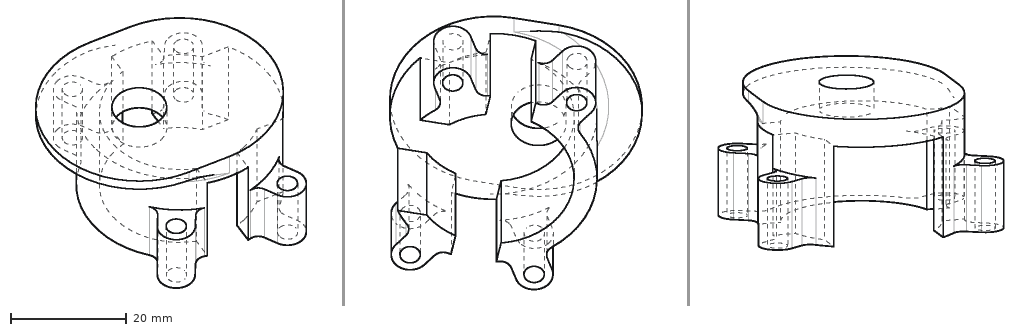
import cadquery as cq
import math

overall_width = 44.6
lid_width = 36.0
outer_radius = lid_width / 2
end_spacing = 8.0
total_height = 23.0
housing_lid_thickness = 5.0
overhang_thickness = 2.0
shaft_hole_diameter = 9.5

inner_radius = 14.0
side_slot_width = 8.05
rear_slot_width = 20.0
flare_radius = 2.0

lug_x = 19.0
lug_y = 10.97
lug_radius = overall_width / 2 - lug_x
lug_height = 12.0
lug_hole_diameter = 3.52
lug_fillet = 2.0

cavity_height = total_height - housing_lid_thickness
overhang_bottom = total_height - overhang_thickness


def make_lid_outline(bottom, top):
    """Solid with the stadium outline of the lid."""
    return (
        cq.Workplane("XY", origin=(0, end_spacing / 2, bottom))
        .slot2D(end_spacing + 2 * outer_radius, 2 * outer_radius, 90)
        .extrude(top - bottom)
    )


def make_flare():
    """Concave ring from the housing wall to the overhang, trimmed to the lid outline."""
    flare_bottom = overhang_bottom - flare_radius
    arc_offset = flare_radius * (1 - math.sqrt(0.5))
    ring = (
        cq.Workplane("XZ", origin=(0, end_spacing, 0))
        .moveTo(inner_radius, flare_bottom)
        .lineTo(outer_radius, flare_bottom)
        .threePointArc(
            (outer_radius + arc_offset, overhang_bottom - arc_offset),
            (outer_radius + flare_radius, overhang_bottom),
        )
        .lineTo(inner_radius, overhang_bottom)
        .close()
        .revolve(360, (0, 0, 0), (0, 1, 0))
    )
    return ring.intersect(make_lid_outline(flare_bottom, overhang_bottom))


def make_lug(angle):
    """Screw lug pointing away from the housing axis at the given angle, with filleted roots."""
    lug_distance = math.hypot(lug_x, lug_y)
    fillet_center_y = lug_radius + lug_fillet
    root_angle = math.asin(fillet_center_y / (outer_radius + lug_fillet))
    fillet_center_x = (outer_radius + lug_fillet) * math.cos(root_angle)
    root_x = outer_radius * math.cos(root_angle)
    root_y = outer_radius * math.sin(root_angle)
    mid_angle = (root_angle + math.pi / 2) / 2
    mid_x = fillet_center_x - lug_fillet * math.cos(mid_angle)
    mid_y = fillet_center_y - lug_fillet * math.sin(mid_angle)
    lug = (
        cq.Workplane("XY")
        .moveTo(root_x, -root_y)
        .threePointArc((mid_x, -mid_y), (fillet_center_x, -lug_radius))
        .lineTo(lug_distance, -lug_radius)
        .threePointArc((lug_distance + lug_radius, 0), (lug_distance, lug_radius))
        .lineTo(fillet_center_x, lug_radius)
        .threePointArc((mid_x, mid_y), (root_x, root_y))
        .close()
        .extrude(lug_height)
    )
    return lug.rotate((0, 0, 0), (0, 0, 1), angle).translate((0, end_spacing, 0))


housing = cq.Workplane("XY", origin=(0, end_spacing, 0))
result = housing.circle(outer_radius).extrude(total_height)
result = result.union(make_lid_outline(overhang_bottom, total_height))
result = result.union(make_flare())

lug_angle = math.degrees(math.atan2(lug_y, lug_x))
for angle in (lug_angle, 180 - lug_angle, 180 + lug_angle, -lug_angle):
    result = result.union(make_lug(angle))

result = result.cut(housing.circle(inner_radius).extrude(cavity_height))
side_slot = housing.rect(2 * outer_radius, side_slot_width).extrude(cavity_height)
rear_slot = (
    housing.rect(rear_slot_width, outer_radius, centered=(True, False)).extrude(cavity_height)
)
result = result.cut(side_slot).cut(rear_slot)

shaft_hole = cq.Workplane("XY").circle(shaft_hole_diameter / 2).extrude(total_height)
screw_holes = (
    housing.rect(2 * lug_x, 2 * lug_y, forConstruction=True)
    .vertices()
    .circle(lug_hole_diameter / 2)
    .extrude(lug_height)
)
result = result.cut(shaft_hole).cut(screw_holes)